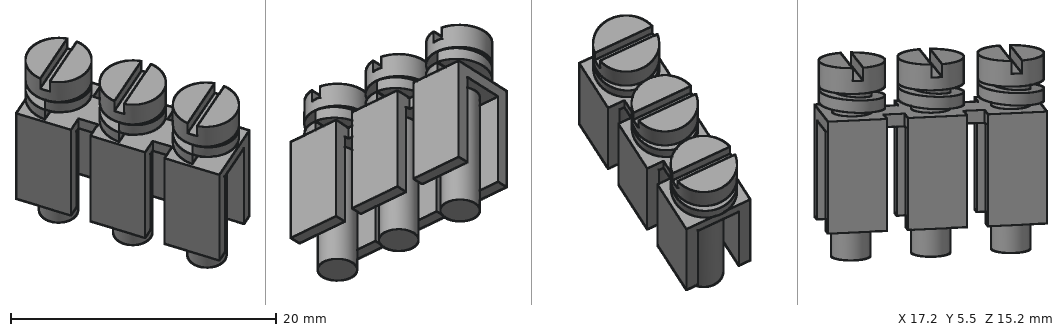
import cadquery as cq

block_pitch = 6.15
block_width = 4.55
block_depth = 5.5
block_height = 8.7
wall = 1.0

bridge_depth = 2.7

shank_diameter = 3.0
shank_projection = 2.5
head_diameter = 5.0
head_height = 2.0
neck_height = 2.0
slot_width = 0.8
slot_depth = head_height / 2
last_head_offset = -0.09

washer_clearance = 0.02
washer_thickness = 0.96
washer_rise = neck_height - 2 * washer_clearance - washer_thickness
washer_overlap = 0.17

stations = [
    (-block_pitch, -block_pitch),
    (0, 0),
    (block_pitch, block_pitch + last_head_offset),
]


def cylinder(x, z, diameter, height):
    return cq.Workplane("XY", origin=(x, 0, z)).circle(diameter / 2).extrude(height)


def make_block(x):
    """Inverted U: a top plate with two side walls."""
    channel_depth = block_depth - 2 * wall
    channel_height = block_height - wall
    body = cq.Workplane("XY").box(block_width, block_depth, block_height, centered=(True, True, False))
    channel = cq.Workplane("XY").box(block_width, channel_depth, channel_height, centered=(True, True, False))
    return body.cut(channel).translate((x, 0, -block_height))


def make_head(x):
    """Cylindrical head with a driver slot along Y."""
    head = cylinder(x, neck_height, head_diameter, head_height)
    slot = (
        cq.Workplane("XY")
        .box(slot_width, head_diameter, slot_depth, centered=(True, True, False))
        .translate((x, 0, neck_height + head_height - slot_depth))
    )
    return head.cut(slot)


def make_washer(x):
    """Rectangular section swept one helical turn, with both ends on the -Y side."""
    inner_radius = shank_diameter / 2 - washer_overlap
    section_width = head_diameter / 2 - inner_radius
    path_radius = inner_radius + section_width / 2
    path = cq.Wire.makeHelix(washer_rise, washer_rise, path_radius, lefthand=True)
    washer = (
        cq.Workplane("XZ")
        .center(path_radius, 0)
        .rect(section_width, washer_thickness)
        .sweep(cq.Workplane(path), isFrenet=True)
    )
    base_height = washer_clearance + washer_thickness / 2
    return washer.rotate((0, 0, 0), (0, 0, 1), -90).translate((x, 0, base_height))


def make_bridges():
    """One bar flush with the block tops, running between the outer block centres."""
    bar = cq.Workplane("XY").box(2 * block_pitch, bridge_depth, wall, centered=(True, True, False))
    return bar.translate((0, 0, -wall))


result = make_bridges()
for block_x, head_x in stations:
    shank_height = block_height + shank_projection
    result = result.union(make_block(block_x))
    result = result.union(cylinder(block_x, -shank_height, shank_diameter, shank_height))
    neck = cylinder(head_x, 0, shank_diameter, neck_height)
    screw_top = neck.union(make_washer(head_x)).union(make_head(head_x))
    result = result.union(screw_top)